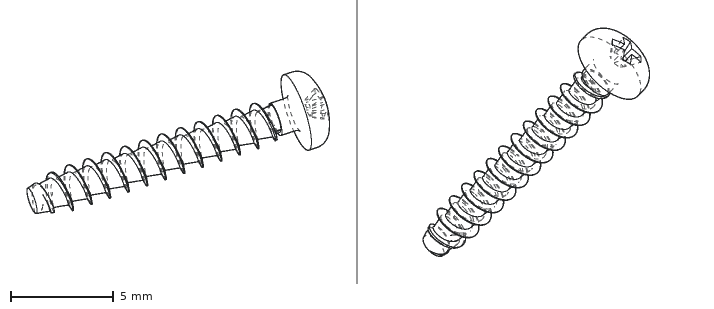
import cadquery as cq
import math


total_length = 15.47

head_radius = 1.95
head_height = 1.5
rim_height = 0.43
dome_radius = 3.3

recess_depth = 0.85
recess_rim_radius = 1.02
recess_clearance = 0.08
recess_floor_radius = 0.46
wing_width = 0.45

shank_radius = 0.84
shank_end = -1.1
neck_fillet = 0.31

inner_corner_radius = wing_width / math.sqrt(2)
top_z = head_height - dome_radius + math.sqrt(dome_radius**2 - inner_corner_radius**2)
tip_z = top_z - total_length

tip_radius = 0.65
core_radius = 0.67
ramp_radius = 0.77
crest_radius = 1.1
full_turns = 12
full_turns_length = 11.77
pitch = full_turns_length / full_turns
crest_width = 0.05
flank_width = 0.1
ramp_gap = 0.02
root_overlap = 0.008
crest_z = -1.49
lead_in_radius = 0.91
lead_in_length = 0.85
tip_taper_length = 1.58
envelope_clearance = 0.08


def make_head_and_shank():
    """Domed head, underhead fillet and plain shank, revolved in one piece."""
    neck_radius = shank_radius + neck_fillet

    dome_center_z = head_height - dome_radius
    rim_above_center = rim_height - dome_center_z
    radius_term = dome_radius**2 - head_radius**2 - rim_above_center**2
    corner_radius = radius_term / (2 * (dome_radius - head_radius))
    tangent_angle = math.atan2(rim_above_center, head_radius - corner_radius)
    tangent_point = (
        dome_radius * math.cos(tangent_angle),
        dome_center_z + dome_radius * math.sin(tangent_angle),
    )

    outline = (
        cq.Workplane("XZ")
        .moveTo(0, shank_end)
        .lineTo(shank_radius, shank_end)
        .lineTo(shank_radius, -neck_fillet)
        .radiusArc((neck_radius, 0), neck_fillet)
        .lineTo(head_radius, 0)
        .lineTo(head_radius, rim_height)
        .radiusArc(tangent_point, -corner_radius)
        .radiusArc((0, head_height), -dome_radius)
        .close()
    )
    return outline.revolve(360, (0, 0, 0), (0, 1, 0))


def make_recess():
    """Cross of two wings, narrowing toward the floor along a cone."""
    floor_z = head_height - recess_depth
    cut_height = recess_depth + recess_clearance
    wing_length = 2 * head_radius
    wing = cq.Workplane("XY").workplane(offset=floor_z).rect(wing_length, wing_width).extrude(cut_height)
    cross = wing.union(wing.rotate((0, 0, 0), (0, 0, 1), 90))
    cone = (
        cq.Workplane("XY")
        .workplane(offset=floor_z)
        .circle(recess_floor_radius)
        .workplane(offset=cut_height)
        .circle(recess_rim_radius)
        .loft()
    )
    return cross.intersect(cone)


def make_thread_envelope():
    """Solid of revolution that trims the thread ends to cones and clears the full crest."""
    lead_in_slope = (crest_radius - lead_in_radius) / lead_in_length
    tip_slope = (crest_radius - tip_radius) / tip_taper_length
    clear_radius = crest_radius + envelope_clearance
    return (
        cq.Workplane("XZ")
        .polyline([
            (0, shank_end),
            (lead_in_radius, shank_end),
            (clear_radius, shank_end - lead_in_length - envelope_clearance / lead_in_slope),
            (clear_radius, tip_z + tip_taper_length + envelope_clearance / tip_slope),
            (tip_radius, tip_z),
            (0, tip_z),
        ])
        .close()
        .revolve(360, (0, 0, 0), (0, 1, 0))
    )


def make_ridge():
    """Helical ridge: thread tooth followed by a core ramp that thins toward the tip."""
    turns_below = int((crest_z - tip_z) / pitch) + 2
    start_z = crest_z - turns_below * pitch
    ridge_height = (turns_below + 1) * pitch
    root_radius = core_radius - root_overlap
    half_crest = crest_width / 2
    ramp_top = start_z - half_crest - flank_width
    ramp_end = start_z + half_crest + flank_width - pitch + ramp_gap
    profile = cq.Workplane("XZ").polyline([
        (root_radius, start_z + half_crest + flank_width),
        (crest_radius, start_z + half_crest),
        (crest_radius, start_z - half_crest),
        (ramp_radius, ramp_top),
        (root_radius, ramp_end),
    ]).close()
    helix = cq.Wire.makeHelix(pitch, ridge_height, core_radius, center=cq.Vector(0, 0, start_z))
    return profile.sweep(cq.Workplane(obj=helix), isFrenet=True)


def make_threaded_part():
    """Core cylinder with the ridge, trimmed to the thread envelope."""
    core_start = tip_z - pitch
    core = cq.Workplane("XY").workplane(offset=core_start).circle(core_radius).extrude(-core_start)
    return core.union(make_ridge()).intersect(make_thread_envelope())


screw = make_head_and_shank().cut(make_recess()).union(make_threaded_part())
result = screw.rotate((0, 0, 0), (1, 0, 0), -90).solids()